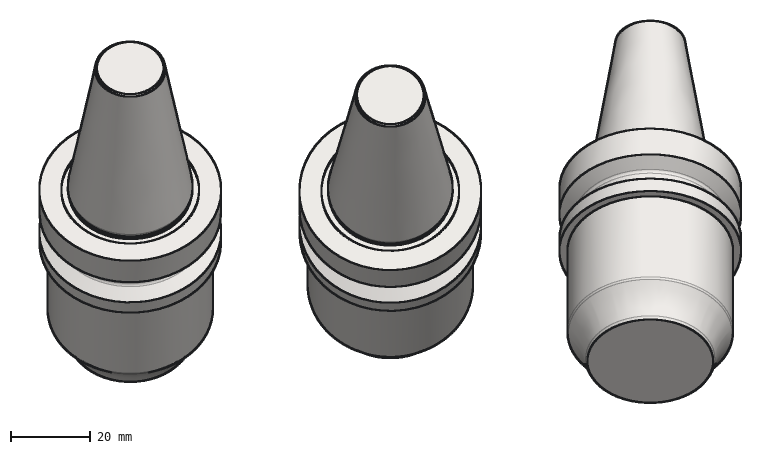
import cadquery as cq

total_height = 107.4

gauge_radius = 15.8
gauge_z = 59.7
collar_bottom_z = 58.6
taper_slope = 7 / 48
tip_chamfer = 0.4

flange_radius = 23.0
flange_top_z = 58.1
flange_bottom_z = 37.0
groove_top_z = 49.4
groove_bottom_z = 41.2
groove_floor_radius = 19.0
groove_wall_height = 2.3
groove_fillet = 1.0

relief_radius = 17.4
relief_depth = 0.5
neck_radius = 15.6

body_radius = 20.9
shoulder_z = 9.6
shoulder_fillet = 1.0
nose_radius = 16.3
nose_arc_bottom_z = 0.9
nose_mid_radius = 17.9
nose_mid_z = 5.2
nose_end_radius = 15.9


def revolve(profile):
    """Turn a closed (radius, height) profile about the Z axis."""
    return profile.close().revolve(360, (0, 0, 0), (0, 1, 0))


def make_shank():
    """Tapered shank with a chamfered tip and a straight collar above a slimmer neck."""
    tip_radius = gauge_radius - (total_height - gauge_z) * taper_slope
    shank = revolve(
        cq.Workplane("XZ")
        .moveTo(0, flange_bottom_z)
        .lineTo(neck_radius, flange_bottom_z)
        .lineTo(neck_radius, collar_bottom_z)
        .lineTo(gauge_radius, collar_bottom_z)
        .lineTo(gauge_radius, gauge_z)
        .lineTo(tip_radius, total_height)
        .lineTo(0, total_height)
    )
    return shank.faces(">Z").edges().chamfer(tip_chamfer)


def make_flange():
    """Flange disc with a rounded V-groove and the relief in its top face."""
    floor_top_z = groove_top_z - groove_wall_height
    floor_bottom_z = groove_bottom_z + groove_wall_height
    flange = revolve(
        cq.Workplane("XZ")
        .moveTo(0, flange_bottom_z)
        .lineTo(flange_radius, flange_bottom_z)
        .lineTo(flange_radius, groove_bottom_z)
        .lineTo(groove_floor_radius, floor_bottom_z)
        .lineTo(groove_floor_radius, floor_top_z)
        .lineTo(flange_radius, groove_top_z)
        .lineTo(flange_radius, flange_top_z)
        .lineTo(0, flange_top_z)
    )
    floor_edges = cq.selectors.RadiusNthSelector(0)
    flange = flange.edges("%CIRCLE").edges(floor_edges).fillet(groove_fillet)
    relief = (
        cq.Workplane("XY", origin=(0, 0, flange_top_z))
        .circle(relief_radius)
        .extrude(-relief_depth)
    )
    return flange.cut(relief)


def make_body():
    """Cylindrical body that narrows through a concave arc to the nose."""
    body = revolve(
        cq.Workplane("XZ")
        .lineTo(nose_end_radius, 0)
        .lineTo(nose_radius, nose_arc_bottom_z)
        .threePointArc((nose_mid_radius, nose_mid_z), (body_radius, shoulder_z))
        .lineTo(body_radius, flange_bottom_z)
        .lineTo(0, flange_bottom_z)
    )
    shoulder = cq.selectors.BoxSelector(
        (-body_radius, -body_radius, shoulder_z - shoulder_fillet),
        (body_radius, body_radius, shoulder_z + shoulder_fillet),
    )
    return body.edges("%CIRCLE").edges(shoulder).fillet(shoulder_fillet)


result = make_body().union(make_flange()).union(make_shank())